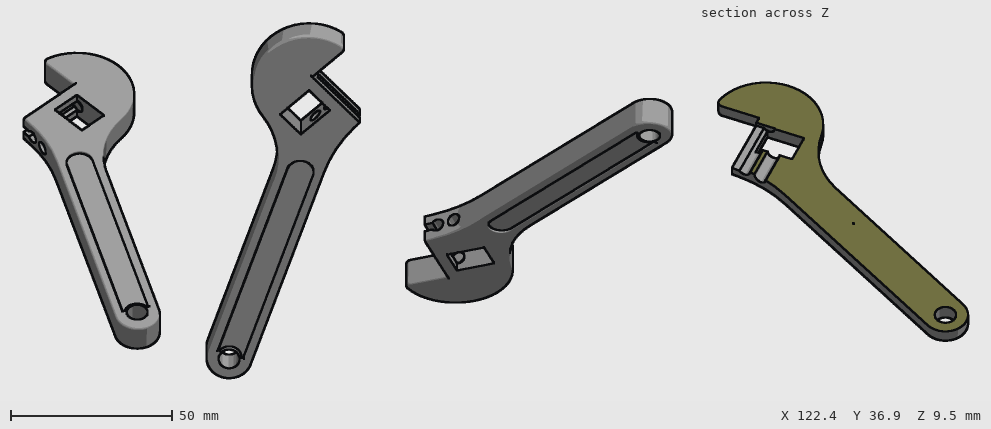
import cadquery as cq
import math

length = 122.4
thickness = 9.5
edge_round = 1.0

handle_half_width = 7.1
eye_x = length - handle_half_width
eye_diameter = 6.5
eye_rim_radius = 3.9

recess_width = 8.3
recess_depth = 1.0
recess_lip_round = 0.3
recess_start_x = 42.8
recess_end_x = eye_x - 1.7

head_radius = 17.9
head_center_y = 7.0
neck_end_x = 52.4
lower_arc_end_x = 44.7
lower_arc_start_x = 27.3
lower_arc_radius = 42.8

jaw_angle = 28.3
jaw_corner_x = 14.3
jaw_corner_y = 7.0
jaw_tip_round = 2.0

window_across = 3.9
window_down = 2.5
window_width = 12.2
window_height = 9.4
slot_width = 2.5
slot_down = 2.2
bore_diameter = 4.0
slide_bore_across = 4.3
pin_bore_across = window_across + window_width / 2
bore_reach = 30.6

lean = math.radians(jaw_angle)


def jaw_point(across, down):
    """Point given across from and down along the sliding face."""
    return (
        jaw_corner_x + across * math.cos(lean) + down * math.sin(lean),
        jaw_corner_y + across * math.sin(lean) - down * math.cos(lean),
    )


def on_circle(center, radius, angle):
    return (center[0] + radius * math.cos(angle), center[1] + radius * math.sin(angle))


def block(across, down, width, height, depth):
    """Block aligned with the sliding face, centred on mid-thickness."""
    corners = [
        jaw_point(across, down),
        jaw_point(across + width, down),
        jaw_point(across + width, down + height),
        jaw_point(across, down + height),
    ]
    return cq.Workplane("XY").polyline(corners).close().extrude(depth / 2, both=True)


def bore(across, down):
    """Round bore running from the given place out through the lower edge of the head."""
    x, y = jaw_point(across, down)
    direction = cq.Vector(math.sin(lean), -math.cos(lean), 0)
    return cq.Workplane(
        cq.Solid.makeCylinder(bore_diameter / 2, bore_reach, cq.Vector(x, y, 0), direction)
    )


def make_body():
    head_center = (head_radius, head_center_y)

    run = neck_end_x - head_radius
    rise = handle_half_width - head_center_y
    neck_radius = (run**2 + rise**2 - head_radius**2) / (2 * (head_radius - rise))
    neck_center = (neck_end_x, handle_half_width + neck_radius)
    neck_angle = math.atan2(neck_center[1] - head_center_y, run)
    neck_start = on_circle(head_center, head_radius, neck_angle)
    neck_turn = math.pi / 2 - neck_angle
    neck_mid = on_circle(neck_center, neck_radius, -math.pi / 2 - neck_turn / 2)

    lower_center = (lower_arc_end_x, -handle_half_width - lower_arc_radius)
    lower_turn = math.asin((lower_arc_end_x - lower_arc_start_x) / lower_arc_radius)
    lower_start = on_circle(lower_center, lower_arc_radius, math.pi / 2 + lower_turn)
    lower_mid = on_circle(lower_center, lower_arc_radius, math.pi / 2 + lower_turn / 2)
    slope = math.tan(lower_turn)
    toe_drop = jaw_corner_y - lower_start[1] + slope * (lower_start[0] - jaw_corner_x)
    toe = jaw_point(0, toe_drop / (math.cos(lean) + slope * math.sin(lean)))

    offset_x = jaw_corner_x - head_center[0]
    offset_y = jaw_corner_y - head_center[1]
    along = offset_x * math.cos(lean) + offset_y * math.sin(lean)
    jaw_length = along + math.sqrt(along**2 + head_radius**2 - offset_x**2 - offset_y**2)
    tip = jaw_point(-jaw_length, 0)
    tip_angle = math.atan2(tip[1] - head_center[1], tip[0] - head_center[0]) % (2 * math.pi)
    head_mid = on_circle(head_center, head_radius, (neck_angle + tip_angle) / 2)

    outline = (
        cq.Workplane("XY", origin=(0, 0, -thickness / 2))
        .moveTo(*toe)
        .lineTo(*lower_start)
        .threePointArc(lower_mid, (lower_arc_end_x, -handle_half_width))
        .lineTo(eye_x, -handle_half_width)
        .threePointArc((length, 0), (eye_x, handle_half_width))
        .lineTo(neck_end_x, handle_half_width)
        .threePointArc(neck_mid, neck_start)
        .threePointArc(head_mid, tip)
        .lineTo(jaw_corner_x, jaw_corner_y)
        .close()
    )
    body = outline.extrude(thickness)
    body = body.edges(cq.selectors.NearestToPointSelector((*tip, 0))).fillet(jaw_tip_round)

    middle_x = (jaw_corner_x + toe[0]) / 2
    middle_y = (jaw_corner_y + toe[1]) / 2
    rim = body.faces("|Z").edges()
    sharp = [
        rim.edges(cq.selectors.NearestToPointSelector((middle_x, middle_y, z))).val()
        for z in (-thickness / 2, thickness / 2)
    ]
    rounded = [edge for edge in rim.vals() if not any(edge.isSame(other) for other in sharp)]
    return body.newObject(rounded).fillet(edge_round)


def make_recess():
    """Upper recess: a slot with one round end, stopping around the rim of the eye."""
    radius = recess_width / 2
    start = recess_start_x + radius
    floor = cq.Workplane("XY", origin=(0, 0, thickness / 2 - recess_depth))
    recess = (
        floor.moveTo(recess_end_x, -radius)
        .lineTo(recess_end_x, radius)
        .lineTo(start, radius)
        .threePointArc((recess_start_x, 0), (start, -radius))
        .close()
        .extrude(recess_depth)
    )
    return recess.cut(floor.center(eye_x, 0).circle(eye_rim_radius).extrude(recess_depth))


def lip_edges(body, side):
    """Edges where a recess opens onto the broad face on the given side."""
    margin = 0.1
    edges = body.faces(">Z" if side > 0 else "<Z").edges()
    box = cq.selectors.BoxSelector(
        (recess_start_x - margin, -recess_width / 2 - margin, -thickness),
        (eye_x - margin, recess_width / 2 + margin, thickness),
        boundingbox=False,
    )
    return edges.edges(box)


result = make_body()
upper_recess = make_recess()
for recess in (upper_recess, upper_recess.mirror("XY")):
    result = result.cut(recess)
for side in (1, -1):
    result = lip_edges(result, side).fillet(recess_lip_round)
eye = cq.Workplane("XY").center(eye_x, 0).circle(eye_diameter / 2).extrude(thickness, both=True)
result = result.cut(eye)

worm_window = block(window_across, window_down, window_width, window_height, 2 * thickness)
jaw_slot = block(0, slot_down, slide_bore_across, bore_reach, slot_width)
slide_bore = bore(slide_bore_across, slot_down)
pin_bore = bore(pin_bore_across, window_down)
for cutter in (worm_window, jaw_slot, slide_bore, pin_bore):
    result = result.cut(cutter)